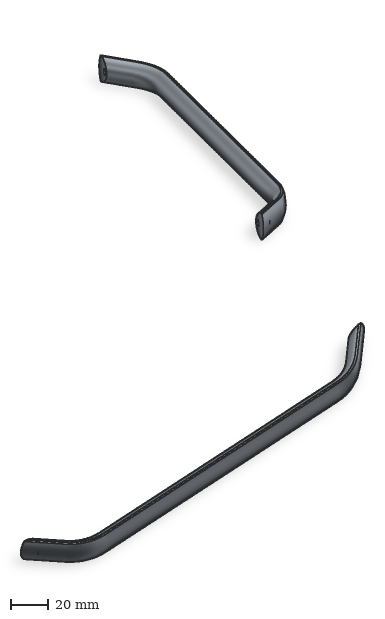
import cadquery as cq
import math

length = 241.0
standoff = 26.0
width = 15.0

thickness = 8.0
back_sag = 1.7
side_depth = 1.2

bend_angle = 45.0
back_bend_radius = 31.0
hole_diameter = 3.4
hole_spacing = 224.1
hole_depth = 6.3
drill_tip_angle = 118.0

angle = math.radians(bend_angle)
half_length = length / 2
bend_run = back_bend_radius * math.sin(angle)
bend_drop = back_bend_radius * (1 - math.cos(angle))
leg_drop = standoff - bend_drop
leg_run = leg_drop / math.tan(angle)
bend_start = half_length - leg_run - bend_run

trim_drop = thickness * math.cos(angle) + 2.5
trim_run = trim_drop / math.tan(angle)


def bar_path():
    """Centred path in XY: leg, bend, grip, bend, leg."""
    tip_x = half_length + trim_run
    bend_end = (bend_start + bend_run, leg_drop)
    bend_middle = (
        bend_start + back_bend_radius * math.sin(angle / 2),
        standoff - back_bend_radius * (1 - math.cos(angle / 2)),
    )
    return (
        cq.Workplane("XY")
        .moveTo(-tip_x, -trim_drop)
        .lineTo(-bend_end[0], bend_end[1])
        .threePointArc((-bend_middle[0], bend_middle[1]), (-bend_start, standoff))
        .lineTo(bend_start, standoff)
        .threePointArc(bend_middle, bend_end)
        .lineTo(tip_x, -trim_drop)
    )


def bar_section():
    """Section at the start of the path; local x points to the back, local y along Z."""
    section_plane = cq.Plane(
        origin=(-half_length - trim_run, -trim_drop, 0),
        xDir=(-math.sin(angle), math.cos(angle), 0),
        normal=(math.cos(angle), math.sin(angle), 0),
    )
    half_width = width / 2
    side_front = -back_sag - side_depth
    return (
        cq.Workplane(section_plane)
        .moveTo(-back_sag, -half_width)
        .threePointArc((0, 0), (-back_sag, half_width))
        .lineTo(side_front, half_width)
        .threePointArc((-thickness, 0), (side_front, -half_width))
        .close()
    )


def mounting_holes():
    """Blind drilled holes entering the mounting faces along +Y."""
    hole_radius = hole_diameter / 2
    tip_height = hole_radius / math.tan(math.radians(drill_tip_angle / 2))
    hole = (
        cq.Workplane("XY")
        .lineTo(hole_radius, 0)
        .lineTo(hole_radius, hole_depth)
        .lineTo(0, hole_depth + tip_height)
        .close()
        .revolve(360, (0, 0, 0), (0, 1, 0))
    )
    left_hole = hole.translate((-hole_spacing / 2, 0, 0))
    right_hole = hole.translate((hole_spacing / 2, 0, 0))
    return left_hole.add(right_hole).combine()


bar = bar_section().sweep(bar_path())
keep_block = cq.Workplane("XY").box(
    2 * length, 2 * standoff, 2 * width, centered=(True, False, True)
)
result = bar.intersect(keep_block).cut(mounting_holes())